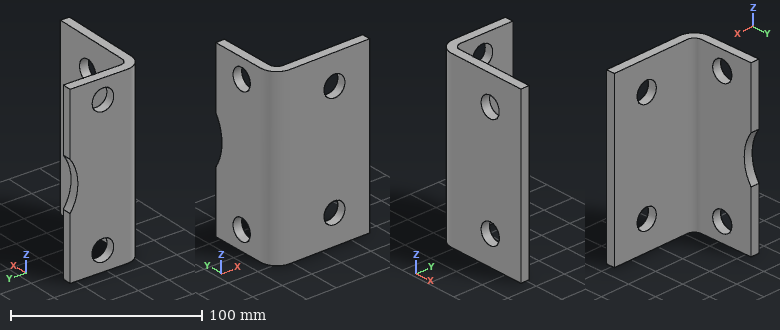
import cadquery as cq

width = 65.0
depth = 48.0
height = 115.0

thickness = 6.0
outer_radius = 11.0
inner_radius = outer_radius - thickness

hole_diameter = 14.0
front_hole_x = 41.0
front_hole_spacing = 75.0
side_hole_y = 26.6
side_hole_spacing = 89.0

notch_radius = 28.0
notch_depth = 5.1

mid_height = height / 2


def bent_plate():
    """Upright L-shaped plate with its outer faces on X = 0 and Y = 0."""
    blank = cq.Workplane("XY").box(width, depth, height, centered=False)
    blank = blank.edges("|Z and <X and <Y").fillet(outer_radius)
    inside = (
        cq.Workplane("XY")
        .box(width - thickness, depth - thickness, height, centered=False)
        .edges("|Z and <X and <Y")
        .fillet(inner_radius)
        .translate((thickness, thickness, 0))
    )
    return blank.cut(inside)


def hole_pair(plane, along_flange, spacing, length):
    """Two cylinders centred on the plane, spaced about mid-height."""
    centres = [(along_flange, mid_height + side * spacing / 2) for side in (-1, 1)]
    return (
        cq.Workplane(plane)
        .pushPoints(centres)
        .circle(hole_diameter / 2)
        .extrude(length, both=True)
    )


def edge_notch():
    """Cylinder along X that bites into the free edge of the side flange."""
    centre_y = depth - notch_depth + notch_radius
    return (
        cq.Workplane("YZ")
        .center(centre_y, mid_height)
        .circle(notch_radius)
        .extrude(thickness)
    )


front_holes = hole_pair("XZ", front_hole_x, front_hole_spacing, thickness)
side_holes = hole_pair("YZ", side_hole_y, side_hole_spacing, thickness)

result = bent_plate().cut(front_holes).cut(side_holes).cut(edge_notch())